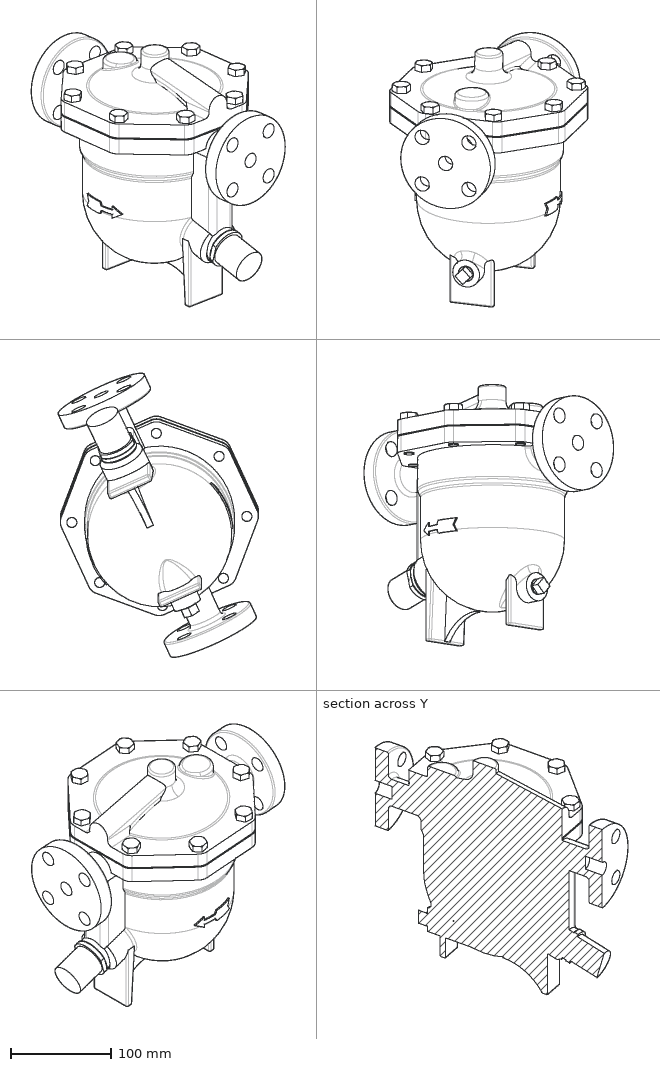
import cadquery as cq
import math

TOP_Z = 74.5
COVER_TOP_Z = 35.0
GASKET_TOP_Z = 19.5
GASKET_BOTTOM_Z = 18.5
RIM_BOTTOM_Z = 2.0
BODY_CENTRE_Z = -81.5
FOOT_Z = -176.5

RIM_HALF_WIDTH = 92.5
RIM_LEFT_X = -90.0
RIM_CORNER_RADIUS = 13.0
GASKET_INSET = 0.4

BOLT_COUNT = 8
BOLT_CIRCLE_RADIUS = 87.5
BOLT_HEAD_FLATS = 16.0
BOLT_HEAD_HEIGHT = 7.0
BOLT_HEAD_CHAMFER = 0.8
BOLT_DIAMETER = 10.0
BOLT_PROJECTION = 1.0

DOME_RADIUS = 155.0
DOME_RIM_RADIUS = 67.0
DOME_RIM_FILLET = 5.0
NECK_RADIUS = 14.0
NECK_ROOT_FILLET = 10.4
NECK_TOP_FILLET = 2.0
ARM_RADIUS = 12.2
ARM_SLOPE = 10.0
ARM_END_Z = 42.6
ARM_FOOT_FILLET = 5.8
ARM_FOOT_FILLET_START_X = 59.4
ARM_DOME_FILLET = 2.0
SIDE_BOSS_X = -51.0
SIDE_BOSS_RADIUS = 17.0
SIDE_BOSS_TOP_Z = 48.5
SIDE_BOSS_TOP_FILLET = 3.0
SIDE_BOSS_BASE_FILLET = 1.5

BODY_X = -0.7
BODY_RADIUS = 72.0
COLLAR_RADIUS = 75.0
SHOULDER_TOP_Z = -31.4
SHOULDER_BOTTOM_Z = -37.3
SHOULDER_FILLET = 5.0

INLET_FACE_X = -130.0
OUTLET_FACE_X = 140.0
FLANGE_RADIUS = 47.5
FLANGE_THICKNESS = 16.0
FLANGE_EDGE_FILLET = 1.5
FLANGE_HUB_FILLET = 4.0
FLANGE_HOLE_DIAMETER = 15.0
FLANGE_BOLT_CIRCLE = 70.0
INLET_PIPE_RADIUS = 16.5
OUTLET_PIPE_RADIUS = 17.0
BORE_DEPTH = 20.0
PIPE_ROOT_FILLET = 5.0

DUCT_OUTER_X = 100.6
DUCT_HALF_WIDTH = 15.0
DUCT_CORNER_RADIUS = 6.0
DUCT_BOTTOM_Z = -107.0

HOLDER_SLOPE = 15.0
HOLDER_BOSS_RADIUS = 23.0
HOLDER_BOSS_DROP = 1.0
HOLDER_BOSS_END = 96.0
HOLDER_BOSS_TAPER_END = 101.0
HOLDER_ROOT_FILLET = 3.0
HOLDER_NECK_RADIUS = 19.0
HOLDER_COLLAR_RADIUS = 20.0
HOLDER_COLLAR_START = 105.5
HOLDER_COLLAR_END = 110.5
HOLDER_COLLAR_FLATS = 36.0
HOLDER_PLUG_RADIUS = 17.0
HOLDER_PLUG_RISE = 1.1
HOLDER_PLUG_END = 143.3

DRAIN_Z = -137.8
DRAIN_PIPE_RADIUS = 16.0
DRAIN_PIPE_START_X = -54.0
DRAIN_PIPE_END_X = 9.5
DRAIN_NOSE_RADIUS = 14.2
DRAIN_NOSE_X = -68.0
DRAIN_NOSE_END_X = -57.0
DRAIN_NOSE_INNER_X = -10.0
DRAIN_NOSE_CHAMFER = 1.5
DRAIN_ROOT_FILLET = 6.0
DRAIN_PLUG_RADIUS = 7.8
DRAIN_SQUARE_X = -78.5
DRAIN_SQUARE_LENGTH = 9.0
DRAIN_SQUARE_SIDE = 11.5

FOOT_HALF_WIDTH = 23.0
FOOT_EDGE_FILLET = 1.8
LEFT_FOOT_X = -53.0
LEFT_FOOT_THICKNESS = 7.0
LEFT_FOOT_TOP_Z = -115.0
RIGHT_FOOT_OUTER_X = 75.3
RIGHT_FOOT_BOTTOM_X = 67.8
RIGHT_FOOT_TOP_X = 63.5
RIGHT_FOOT_TOP_Z = -104.0
WEB_THICKNESS = 7.0
WEB_ARC_RADIUS = 55.0
WEB_ARC_X = 22.0
WEB_ARC_TOP_Z = -151.0

ARROW_PROJECTION = 1.5
ARROW_MID_Z = -76.6
ARROW_HALF_HEIGHT = 6.6
ARROW_SHAFT_HALF_HEIGHT = 2.5
ARROW_TAIL_X = -24.6
ARROW_NOTCH_X = -21.2
ARROW_TAIL_END_X = -1.9
ARROW_SHAFT_START_X = 0.0
ARROW_HEAD_X = 14.4
ARROW_TIP_X = 25.1


def turned_about_z(outline, x):
    """Revolve an outline of (radius, z) about the vertical axis at x."""
    return outline.close().revolve(360, (0, 0, 0), (0, 1, 0)).translate((x, 0, 0))


def cylinder_x(radius, x_start, x_end, z=0.0):
    return cq.Workplane("YZ", origin=(x_start, 0, z)).circle(radius).extrude(x_end - x_start)


def cylinder_z(radius, x, z_start, z_end):
    return cq.Workplane("XY", origin=(x, 0, z_start)).circle(radius).extrude(z_end - z_start)


def octagon_plate(z_bottom, z_top, inset=0.0):
    """Regular octagon with rounded corners and its inlet side cut back."""
    half = RIM_HALF_WIDTH - inset
    left = RIM_LEFT_X + inset
    flat_end = half * math.tan(math.radians(22.5))
    left_flat_end = half + flat_end + left
    points = [
        (half, -flat_end),
        (half, flat_end),
        (flat_end, half),
        (-flat_end, half),
        (left, left_flat_end),
        (left, -left_flat_end),
        (-flat_end, -half),
        (flat_end, -half),
    ]
    plate = cq.Workplane("XY", origin=(0, 0, z_bottom)).polyline(points).close().extrude(z_top - z_bottom)
    return plate.edges("|Z").fillet(RIM_CORNER_RADIUS)


def dome_z(radius):
    rim_depth = math.sqrt(DOME_RADIUS**2 - DOME_RIM_RADIUS**2)
    return COVER_TOP_Z - rim_depth + math.sqrt(DOME_RADIUS**2 - radius**2)


def cover_dome():
    mid_radius = DOME_RIM_RADIUS / 2
    outline = (
        cq.Workplane("YZ")
        .moveTo(0, COVER_TOP_Z)
        .lineTo(DOME_RIM_RADIUS, COVER_TOP_Z)
        .threePointArc((mid_radius, dome_z(mid_radius)), (0, dome_z(0)))
    )
    return turned_about_z(outline, 0)


def cover_arm():
    """Inclined round-topped arm from the neck to the outlet side, standing on a wall."""
    end_x = RIM_HALF_WIDTH
    start_z = ARM_END_Z + end_x * math.tan(math.radians(ARM_SLOPE))
    length = 2 * end_x
    direction = cq.Vector(math.cos(math.radians(ARM_SLOPE)), 0, -math.sin(math.radians(ARM_SLOPE)))
    tube = cq.Workplane(cq.Solid.makeCylinder(ARM_RADIUS, length, cq.Vector(0, 0, start_z), direction))
    tube = tube.intersect(cq.Workplane("XY").box(end_x, length, 2 * length, centered=(False, True, True)))
    wall = (
        cq.Workplane("XZ", origin=(0, ARM_RADIUS, 0))
        .polyline([(0, COVER_TOP_Z), (end_x, COVER_TOP_Z), (end_x, ARM_END_Z), (0, start_z)])
        .close()
        .extrude(2 * ARM_RADIUS)
    )
    return wall.union(tube)


def arm_foot_fillets():
    """Concave fillets between the arm wall and the flat rim of the cover."""
    top_z = COVER_TOP_Z + ARM_FOOT_FILLET
    outer_y = ARM_RADIUS + ARM_FOOT_FILLET
    sag = ARM_FOOT_FILLET * (1 - math.sqrt(0.5))
    one_side = (
        cq.Workplane("YZ", origin=(ARM_FOOT_FILLET_START_X, 0, 0))
        .moveTo(0, COVER_TOP_Z)
        .lineTo(outer_y, COVER_TOP_Z)
        .threePointArc((ARM_RADIUS + sag, COVER_TOP_Z + sag), (ARM_RADIUS, top_z))
        .lineTo(0, top_z)
        .close()
        .extrude(RIM_HALF_WIDTH - ARM_FOOT_FILLET_START_X)
    )
    return one_side.union(one_side.mirror("XZ"))


def arm_dome_fillets():
    """Concave fillets between the arm wall and the dome, turned about the dome centre."""
    start_angle = math.degrees(math.asin(NECK_RADIUS / DOME_RADIUS))
    end_angle = math.degrees(math.asin((DOME_RIM_RADIUS - DOME_RIM_FILLET) / DOME_RADIUS))
    centre_z = dome_z(0) - DOME_RADIUS
    wall_z = dome_z(ARM_RADIUS)
    outer_y = ARM_RADIUS + ARM_DOME_FILLET
    outer_z = dome_z(outer_y)
    root_z = outer_z - ARM_DOME_FILLET
    sag = ARM_DOME_FILLET * (1 - math.sqrt(0.5))
    one_side = (
        cq.Workplane("YZ")
        .moveTo(0, root_z)
        .lineTo(outer_y, root_z)
        .lineTo(outer_y, outer_z)
        .threePointArc((ARM_RADIUS + sag, wall_z + sag), (ARM_RADIUS, wall_z + ARM_DOME_FILLET))
        .lineTo(0, wall_z + ARM_DOME_FILLET)
        .close()
        .revolve(end_angle - start_angle, (0, centre_z, 0), (1, centre_z, 0))
        .rotate((0, 0, centre_z), (0, 1, centre_z), start_angle)
    )
    return one_side.union(one_side.mirror("XZ"))


def cover_with_side_boss():
    """Octagonal cover plate, its dome and the round boss, with the fillets between them."""
    plate = octagon_plate(GASKET_TOP_Z, COVER_TOP_Z).union(cover_dome())
    plate = plate.edges(cq.selectors.NearestToPointSelector((0, 0, COVER_TOP_Z))).fillet(DOME_RIM_FILLET)

    plate = plate.union(cylinder_z(SIDE_BOSS_RADIUS, SIDE_BOSS_X, GASKET_TOP_Z, SIDE_BOSS_TOP_Z))
    reach = SIDE_BOSS_RADIUS + 1
    boss_base = cq.selectors.BoxSelector(
        (SIDE_BOSS_X - reach, -reach, COVER_TOP_Z - 1),
        (SIDE_BOSS_X + reach, reach, SIDE_BOSS_TOP_Z - 1),
    )
    plate = plate.edges(boss_base).edges("not %LINE").fillet(SIDE_BOSS_BASE_FILLET)
    boss_top = cq.selectors.NearestToPointSelector((SIDE_BOSS_X, 0, SIDE_BOSS_TOP_Z))
    return plate.edges(boss_top).fillet(SIDE_BOSS_TOP_FILLET)


def cover():
    plate = cover_with_side_boss()
    neck = cylinder_z(NECK_RADIUS, 0, COVER_TOP_Z, TOP_Z)
    plate = plate.union(neck.faces(">Z").edges().fillet(NECK_TOP_FILLET))
    neck_base = cq.selectors.NearestToPointSelector((0, 0, dome_z(NECK_RADIUS)))
    plate = plate.edges(neck_base).fillet(NECK_ROOT_FILLET)
    return plate.union(cover_arm()).union(arm_dome_fillets()).union(arm_foot_fillets())


def cover_bolt(angle):
    corners = BOLT_HEAD_FLATS / math.cos(math.radians(30))
    head = cq.Workplane("XY", origin=(0, 0, COVER_TOP_Z)).polygon(6, corners).extrude(BOLT_HEAD_HEIGHT)
    round_blank = cq.Workplane("XY", origin=(0, 0, COVER_TOP_Z)).circle(corners / 2).extrude(BOLT_HEAD_HEIGHT)
    head = head.intersect(round_blank.faces(">Z").chamfer(BOLT_HEAD_CHAMFER))
    shank = cylinder_z(BOLT_DIAMETER / 2, 0, RIM_BOTTOM_Z - BOLT_PROJECTION, COVER_TOP_Z)
    return head.union(shank).translate((BOLT_CIRCLE_RADIUS, 0, 0)).rotate((0, 0, 0), (0, 0, 1), angle)


def body():
    diagonal = math.sqrt(0.5)
    outline = (
        cq.Workplane("YZ")
        .moveTo(0, BODY_CENTRE_Z - BODY_RADIUS)
        .threePointArc(
            (BODY_RADIUS * diagonal, BODY_CENTRE_Z - BODY_RADIUS * diagonal),
            (BODY_RADIUS, BODY_CENTRE_Z),
        )
        .lineTo(BODY_RADIUS, SHOULDER_BOTTOM_Z)
        .lineTo(COLLAR_RADIUS, SHOULDER_TOP_Z)
        .lineTo(COLLAR_RADIUS, GASKET_BOTTOM_Z)
        .lineTo(0, GASKET_BOTTOM_Z)
    )
    shell = turned_about_z(outline, BODY_X)
    shoulder = cq.selectors.BoxSelector(
        (-COLLAR_RADIUS * 2, -COLLAR_RADIUS * 2, SHOULDER_BOTTOM_Z - 1),
        (COLLAR_RADIUS * 2, COLLAR_RADIUS * 2, SHOULDER_TOP_Z + 1),
    )
    return shell.edges(shoulder).fillet(SHOULDER_FILLET)


def duct():
    block = (
        cq.Workplane("XY", origin=(0, 0, DUCT_BOTTOM_Z))
        .box(DUCT_OUTER_X, 2 * DUCT_HALF_WIDTH, -DUCT_BOTTOM_Z, centered=(False, True, False))
    )
    return block.edges("|Z and >X").fillet(DUCT_CORNER_RADIUS)


def flange(face_x, pipe_radius, inward):
    """Flange with a filleted hub; inward is the X direction from its face to the body."""
    back_x = FLANGE_THICKNESS
    hub_x = back_x + FLANGE_HUB_FILLET
    hub_radius = pipe_radius + FLANGE_HUB_FILLET
    outline = (
        cq.Workplane("XY")
        .moveTo(0, 0)
        .lineTo(0, FLANGE_RADIUS)
        .lineTo(back_x - FLANGE_EDGE_FILLET, FLANGE_RADIUS)
        .radiusArc((back_x, FLANGE_RADIUS - FLANGE_EDGE_FILLET), FLANGE_EDGE_FILLET)
        .lineTo(back_x, hub_radius)
        .radiusArc((hub_x, pipe_radius), -FLANGE_HUB_FILLET)
        .lineTo(hub_x, 0)
        .close()
    )
    disc = outline.revolve(360, (0, 0, 0), (1, 0, 0))
    holes = (
        cq.Workplane("YZ")
        .polarArray(FLANGE_BOLT_CIRCLE / 2, 45, 360, 4)
        .circle(FLANGE_HOLE_DIAMETER / 2)
        .extrude(FLANGE_THICKNESS)
    )
    disc = disc.cut(holes)
    if inward < 0:
        disc = disc.mirror("YZ")
    return disc.translate((face_x, 0, 0))


def along_holder(radius, start, end, offset, end_radius=None):
    """Length of the inclined holder; offset is measured square to its axis, upwards."""
    angle = math.radians(HOLDER_SLOPE)
    direction = cq.Vector(math.cos(angle), 0, -math.sin(angle))
    upward = cq.Vector(math.sin(angle), 0, math.cos(angle))
    base = cq.Vector(BODY_X, 0, BODY_CENTRE_Z) + direction * start + upward * offset
    if end_radius is None:
        return cq.Workplane(cq.Solid.makeCylinder(radius, end - start, base, direction))
    return cq.Workplane(cq.Solid.makeCone(radius, end_radius, end - start, base, direction))


def screen_holder():
    """Tapered end of the holder boss, its neck, the collar with two flats and the round plug."""
    taper = along_holder(
        HOLDER_BOSS_RADIUS, HOLDER_BOSS_END, HOLDER_BOSS_TAPER_END, -HOLDER_BOSS_DROP, HOLDER_NECK_RADIUS
    )
    neck = along_holder(HOLDER_NECK_RADIUS, HOLDER_BOSS_END, HOLDER_COLLAR_START, HOLDER_PLUG_RISE)
    collar = along_holder(HOLDER_COLLAR_RADIUS, HOLDER_COLLAR_START, HOLDER_COLLAR_END, HOLDER_PLUG_RISE)
    flats = cq.Workplane("XY").box(2 * OUTLET_FACE_X, HOLDER_COLLAR_FLATS, -2 * FOOT_Z)
    collar = collar.intersect(flats)
    plug = along_holder(HOLDER_PLUG_RADIUS, HOLDER_BOSS_END, HOLDER_PLUG_END, HOLDER_PLUG_RISE)
    return taper.union(neck).union(collar).union(plug)


def drain():
    outline = (
        cq.Workplane("XY")
        .moveTo(DRAIN_NOSE_X, 0)
        .lineTo(DRAIN_NOSE_X, DRAIN_NOSE_RADIUS - DRAIN_NOSE_CHAMFER)
        .lineTo(DRAIN_NOSE_X + DRAIN_NOSE_CHAMFER, DRAIN_NOSE_RADIUS)
        .lineTo(DRAIN_NOSE_END_X, DRAIN_NOSE_RADIUS)
        .lineTo(DRAIN_PIPE_START_X, DRAIN_PIPE_RADIUS)
        .lineTo(DRAIN_PIPE_END_X, DRAIN_PIPE_RADIUS)
        .lineTo(DRAIN_PIPE_END_X, 0)
        .close()
    )
    return outline.revolve(360, (0, 0, 0), (1, 0, 0)).translate((0, 0, DRAIN_Z))


def drain_plug():
    square_end_x = DRAIN_SQUARE_X + DRAIN_SQUARE_LENGTH
    square = (
        cq.Workplane("YZ", origin=(DRAIN_SQUARE_X, 0, DRAIN_Z))
        .transformed(rotate=(0, 0, 45))
        .rect(DRAIN_SQUARE_SIDE, DRAIN_SQUARE_SIDE)
        .extrude(DRAIN_SQUARE_LENGTH)
    )
    return square.union(cylinder_x(DRAIN_PLUG_RADIUS, square_end_x, DRAIN_NOSE_X, DRAIN_Z))


def foot(points):
    """Upright plate across the body from its outline in XZ, with rounded side and bottom edges."""
    plate = cq.Workplane("XZ", origin=(0, FOOT_HALF_WIDTH, 0)).polyline(points).close()
    plate = plate.extrude(2 * FOOT_HALF_WIDTH)
    return plate.faces("<Z or <Y or >Y").edges("not >Z").fillet(FOOT_EDGE_FILLET)


def left_foot():
    inner_x = LEFT_FOOT_X + LEFT_FOOT_THICKNESS
    return foot([
        (LEFT_FOOT_X, FOOT_Z),
        (inner_x, FOOT_Z),
        (inner_x, LEFT_FOOT_TOP_Z),
        (LEFT_FOOT_X, LEFT_FOOT_TOP_Z),
    ])


def right_foot():
    return foot([
        (RIGHT_FOOT_BOTTOM_X, FOOT_Z),
        (RIGHT_FOOT_OUTER_X, FOOT_Z),
        (RIGHT_FOOT_OUTER_X, RIGHT_FOOT_TOP_Z),
        (RIGHT_FOOT_TOP_X, RIGHT_FOOT_TOP_Z),
    ])


def foot_web():
    """Central web between the body and the right foot, hollowed below by an arc."""
    run = RIGHT_FOOT_BOTTOM_X - WEB_ARC_X
    arc_end_z = WEB_ARC_TOP_Z - WEB_ARC_RADIUS + math.sqrt(WEB_ARC_RADIUS**2 - run**2)
    return (
        cq.Workplane("XZ", origin=(0, WEB_THICKNESS / 2, 0))
        .moveTo(WEB_ARC_X, BODY_CENTRE_Z)
        .lineTo(WEB_ARC_X, WEB_ARC_TOP_Z)
        .radiusArc((RIGHT_FOOT_BOTTOM_X, arc_end_z), WEB_ARC_RADIUS)
        .lineTo(RIGHT_FOOT_BOTTOM_X, RIGHT_FOOT_TOP_Z)
        .close()
        .extrude(WEB_THICKNESS)
    )


def flow_arrows():
    half = ARROW_HALF_HEIGHT
    shaft = ARROW_SHAFT_HALF_HEIGHT
    points = [
        (ARROW_TAIL_X, half),
        (ARROW_TAIL_END_X, half),
        (ARROW_SHAFT_START_X, shaft),
        (ARROW_HEAD_X, shaft),
        (ARROW_HEAD_X, half),
        (ARROW_TIP_X, 0),
        (ARROW_HEAD_X, -half),
        (ARROW_HEAD_X, -shaft),
        (ARROW_SHAFT_START_X, -shaft),
        (ARROW_TAIL_END_X, -half),
        (ARROW_TAIL_X, -half),
        (ARROW_NOTCH_X, 0),
    ]
    outer_radius = BODY_RADIUS + ARROW_PROJECTION
    prism = (
        cq.Workplane("XZ", origin=(0, 0, ARROW_MID_Z))
        .polyline(points)
        .close()
        .extrude(outer_radius, both=True)
    )
    sleeve = cylinder_z(outer_radius, BODY_X, ARROW_MID_Z - half, ARROW_MID_Z + half)
    core = cylinder_z(BODY_RADIUS - ARROW_PROJECTION * 2, BODY_X, ARROW_MID_Z - half, ARROW_MID_Z + half)
    return prism.intersect(sleeve).cut(core)


def body_with_branches():
    """Body with the inlet pipe, drain nose and screen holder boss filleted onto it."""
    shell = body().union(cylinder_x(INLET_PIPE_RADIUS, INLET_FACE_X + FLANGE_THICKNESS, BODY_X))
    inlet_root = cq.selectors.BoxSelector(
        (BODY_X - COLLAR_RADIUS - 1, -COLLAR_RADIUS, -INLET_PIPE_RADIUS - 1),
        (BODY_X - COLLAR_RADIUS / 2, COLLAR_RADIUS, GASKET_BOTTOM_Z - 1),
    )
    shell = shell.edges(inlet_root).fillet(PIPE_ROOT_FILLET)

    shell = shell.union(cylinder_x(DRAIN_NOSE_RADIUS, DRAIN_NOSE_X, DRAIN_NOSE_INNER_X, DRAIN_Z))
    drain_root = cq.selectors.BoxSelector(
        (DRAIN_NOSE_X + 1, -BODY_RADIUS / 2, BODY_CENTRE_Z - BODY_RADIUS),
        (DRAIN_NOSE_INNER_X, BODY_RADIUS / 2, DRAIN_Z + 2 * DRAIN_NOSE_RADIUS),
    )
    shell = shell.edges(drain_root).edges("not %LINE").fillet(DRAIN_ROOT_FILLET)

    shell = shell.union(along_holder(HOLDER_BOSS_RADIUS, 0, HOLDER_BOSS_END, -HOLDER_BOSS_DROP))
    holder_root = cq.selectors.BoxSelector(
        (BODY_RADIUS / 2, -BODY_RADIUS / 2, DRAIN_Z),
        (BODY_RADIUS + 1, BODY_RADIUS / 2, SHOULDER_BOTTOM_Z - 1),
    )
    return shell.edges(holder_root).edges("not %LINE").fillet(HOLDER_ROOT_FILLET)


outlet_pipe = cylinder_x(OUTLET_PIPE_RADIUS, 0, OUTLET_FACE_X - FLANGE_THICKNESS)

result = body_with_branches().union(duct().union(outlet_pipe)).union(screen_holder())
result = result.union(drain()).union(drain_plug())
result = result.union(left_foot()).union(right_foot()).union(foot_web()).union(flow_arrows())
result = result.union(flange(INLET_FACE_X, INLET_PIPE_RADIUS, 1))
result = result.union(flange(OUTLET_FACE_X, OUTLET_PIPE_RADIUS, -1))
result = result.union(octagon_plate(RIM_BOTTOM_Z, GASKET_BOTTOM_Z))
result = result.union(octagon_plate(GASKET_BOTTOM_Z, GASKET_TOP_Z, GASKET_INSET))
result = result.union(cover())
for index in range(BOLT_COUNT):
    result = result.union(cover_bolt((index + 0.5) * 360 / BOLT_COUNT))

result = result.cut(cylinder_x(FLANGE_HOLE_DIAMETER / 2, INLET_FACE_X, INLET_FACE_X + BORE_DEPTH))
result = result.cut(cylinder_x(FLANGE_HOLE_DIAMETER / 2, OUTLET_FACE_X - BORE_DEPTH, OUTLET_FACE_X))